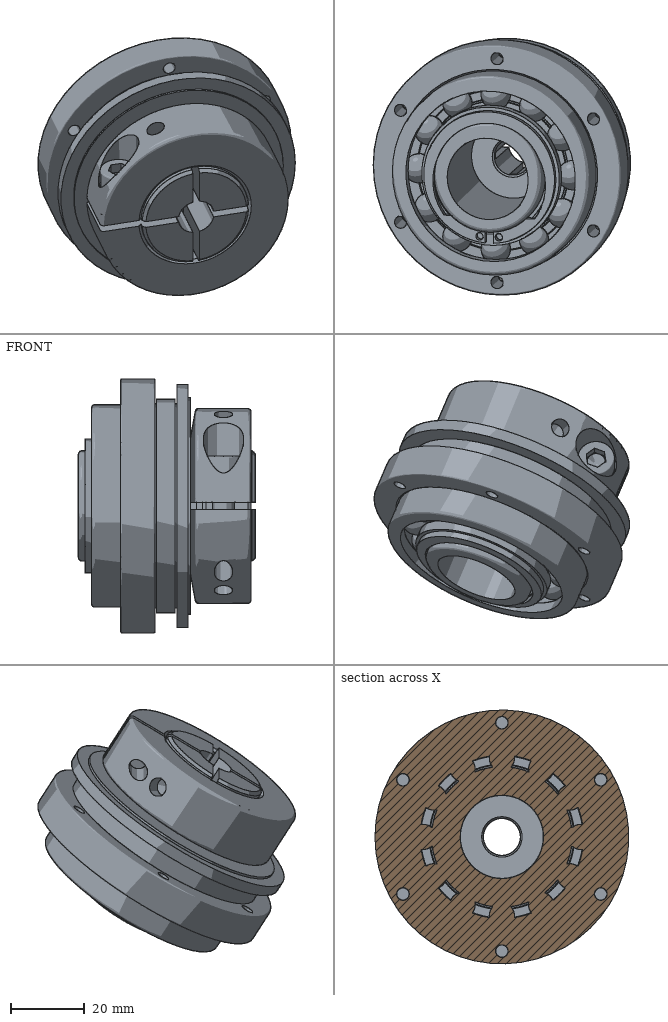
import cadquery as cq
import math


hub_dia = 30.0
hub_length = 48.0
hub_bore_dia = 22.5
hub_bore_depth = 30.0
hub_front_round = 1.1
hub_end_chamfer = 0.8
pilot_dia = 10.0
pilot_chamfer = 0.5

bearing_start = 3.6
bearing_width = 13.0
bearing_end = bearing_start + bearing_width
inner_ring_dia = 38.2
outer_ring_bore = 47.1
outer_ring_dia = 55.0
bearing_round = 1.0
ball_count = 12
ball_dia = 8.0
ball_x = bearing_start + bearing_width / 2
ball_circle_dia = (inner_ring_dia + outer_ring_bore) / 2
raceway_radius = 4.2
cage_setback = 1.7
cage_step = 0.4
cage_step_slope = 0.2
cage_outer_dia = 44.45
cage_inner_dia = 39.5

snap_thickness = 1.7
snap_dia = 36.35
snap_relief_dia = 31.3
snap_relief_drop = 1.5
snap_lug_level = -11.0
snap_gap_width = 2.35
snap_hole_dia = 2.0
snap_hole_spacing = 5.4
snap_hole_drop = 16.4

flange_start = 11.5
flange_end = 20.85
flange_dia = 69.0
flange_round = 0.4
flange_bore_chamfer = 0.5
flange_hole_dia = 3.3
flange_hole_circle = 61.95
flange_hole_count = 6
neck_dia = 55.5
pressure_disc_start = 21.2
pressure_disc_end = 26.3
pressure_disc_dia = 58.0
switch_disc_start = 26.8
switch_disc_end = 29.8
switch_disc_dia = 66.0
spacer_end = 30.4
spacer_dia = 58.9

clamp_start = spacer_end
clamp_end = 46.9
clamp_dia = 53.0
clamp_round = 1.05
cone_front_dia = 37.1
cone_length = 1.45
slit_width = 1.85
hub_slit_start = 32.0
relief_dia = 31.75
relief_end = 33.75
relief_cone_end = 34.65
clamp_bore_chamfer = 0.8

screw_x = 39.4
screw_y = -19.45
head_dia = 10.0
head_height = 6.0
head_top = 13.5
head_round = 0.5
head_seat = head_top - head_height
counterbore_dia = 11.0
shank_dia = 6.0
shank_end = -8.3
shank_clearance_dia = 6.5
hex_flats = 5.0
hex_depth = 2.75
drill_point_angle = 118.0
collar_hole_dia = 5.0
collar_hole_depth = 5.0
collar_hole_angles = (20.0, 150.0)


def disc(start, end, dia):
    """Round disc about the X axis between two x positions."""
    return cq.Workplane("YZ").workplane(offset=start).circle(dia / 2).extrude(end - start)


def ring(start, end, outer_dia, inner_dia):
    return disc(start, end, outer_dia).cut(disc(start, end, inner_dia))


def turned(points):
    """Solid turned about the X axis from (x, radius) points."""
    return cq.Workplane("XY").polyline(points).close().revolve(360, (0, 0, 0), (1, 0, 0))


def drill(dia, depth):
    """Drill shape with a conical point, starting at the origin and going down."""
    radius = dia / 2
    point = radius / math.tan(math.radians(drill_point_angle / 2))
    profile = [(0, 0), (radius, 0), (radius, -depth), (0, -depth - point)]
    return cq.Workplane("XZ").polyline(profile).close().revolve(360, (0, 0, 0), (0, 1, 0))


def upright_cylinder(bottom, top, dia):
    """Cylinder on the screw axis between two z positions."""
    plane = cq.Workplane("XY").workplane(offset=bottom).center(screw_x, screw_y)
    return plane.circle(dia / 2).extrude(top - bottom)


def make_hub():
    hub = disc(0, hub_length, hub_dia)
    hub = hub.faces("<X").edges().fillet(hub_front_round)
    return hub.faces(">X").edges().chamfer(hub_end_chamfer)


def make_hub_bore():
    bore_radius = hub_bore_dia / 2
    pilot_radius = pilot_dia / 2
    return turned([
        (0, 0),
        (0, bore_radius),
        (hub_bore_depth, bore_radius),
        (hub_bore_depth, pilot_radius + pilot_chamfer),
        (hub_bore_depth + pilot_chamfer, pilot_radius),
        (hub_length, pilot_radius),
        (hub_length, 0),
    ])


def make_bearing():
    inner = ring(bearing_start, bearing_end, inner_ring_dia, hub_dia)
    inner = inner.faces("<X").edges(cq.selectors.RadiusNthSelector(0)).chamfer(bearing_round)
    outer = ring(bearing_start, bearing_end, outer_ring_dia, outer_ring_bore)
    outer = outer.faces("<X").edges(cq.selectors.RadiusNthSelector(1)).fillet(bearing_round)

    cage_face = ball_x + cage_setback

    groove = cq.Workplane("XY").center(ball_x, ball_circle_dia / 2).circle(raceway_radius)
    groove = groove.revolve(360, (0, -ball_circle_dia / 2, 0), (1, -ball_circle_dia / 2, 0))
    groove = groove.intersect(disc(bearing_start, cage_face, outer_ring_dia))
    inner = inner.cut(groove)
    outer = outer.cut(groove)

    middle_face = cage_face + cage_step
    inner_face = middle_face + cage_step
    cage = turned([
        (bearing_end, outer_ring_bore / 2),
        (cage_face, outer_ring_bore / 2),
        (cage_face, cage_outer_dia / 2),
        (middle_face, cage_outer_dia / 2 - cage_step_slope),
        (middle_face, cage_inner_dia / 2),
        (inner_face, cage_inner_dia / 2 - cage_step_slope),
        (inner_face, inner_ring_dia / 2),
        (bearing_end, inner_ring_dia / 2),
    ])
    bearing = inner.union(outer).union(cage)

    for index in range(ball_count):
        angle = 360 / ball_count * index
        ball = cq.Workplane("XY").sphere(ball_dia / 2)
        ball = ball.rotate((0, 0, 0), (0, 1, 0), 90).translate((ball_x, 0, ball_circle_dia / 2))
        bearing = bearing.union(ball.rotate((0, 0, 0), (1, 0, 0), angle))
    return bearing


def make_snap_ring():
    start = bearing_start - snap_thickness
    plane = cq.Workplane("YZ").workplane(offset=start)
    snap_ring = ring(start, bearing_start, snap_dia, hub_dia)

    relief = plane.center(0, -snap_relief_drop).circle(snap_relief_dia / 2).extrude(snap_thickness)
    above_lugs = plane.center(0, snap_lug_level).rect(snap_dia, snap_dia, centered=(True, False))
    snap_ring = snap_ring.cut(relief.intersect(above_lugs.extrude(snap_thickness)))

    gap = plane.center(0, -snap_dia / 2).rect(snap_gap_width, snap_dia / 2).extrude(snap_thickness)
    holes = plane.center(0, -snap_hole_drop).rarray(snap_hole_spacing, 0.7, 2, 1)
    holes = holes.circle(snap_hole_dia / 2).extrude(snap_thickness)
    return snap_ring.cut(gap).cut(holes)


def make_flange():
    flange = disc(flange_start, flange_end, flange_dia).edges().fillet(flange_round)
    flange = flange.cut(disc(flange_start, bearing_end, outer_ring_dia))
    flange = flange.faces("<X").edges(cq.selectors.RadiusNthSelector(0)).chamfer(flange_bore_chamfer)
    holes = cq.Workplane("YZ").workplane(offset=flange_start)
    holes = holes.polarArray(flange_hole_circle / 2, 90, 360, flange_hole_count)
    return flange.cut(holes.circle(flange_hole_dia / 2).extrude(flange_end - flange_start))


def make_discs():
    discs = disc(bearing_end, switch_disc_start, neck_dia)
    discs = discs.union(disc(pressure_disc_start, pressure_disc_end, pressure_disc_dia))
    discs = discs.union(disc(switch_disc_start, switch_disc_end, switch_disc_dia))
    return discs.union(disc(switch_disc_end, spacer_end, spacer_dia))


def make_clamp():
    clamp_radius = clamp_dia / 2
    clamp = turned([
        (clamp_start, 0),
        (clamp_start, cone_front_dia / 2),
        (clamp_start + cone_length, clamp_radius),
        (clamp_end, clamp_radius),
        (clamp_end, 0),
    ])
    clamp = clamp.edges(cq.selectors.RadiusNthSelector(-1)).fillet(clamp_round)

    bore_radius = hub_dia / 2
    bore = turned([
        (clamp_start, 0),
        (clamp_start, bore_radius),
        (hub_slit_start, bore_radius),
        (hub_slit_start, relief_dia / 2),
        (relief_end, relief_dia / 2),
        (relief_cone_end, bore_radius),
        (clamp_end - clamp_bore_chamfer, bore_radius),
        (clamp_end, bore_radius + clamp_bore_chamfer),
        (clamp_end, 0),
    ])
    clamp = clamp.cut(bore)

    slit_length = clamp_end - clamp_start
    slit = cq.Workplane("XY").box(slit_length, clamp_radius, slit_width, centered=(False, False, True))
    clamp = clamp.cut(slit.translate((clamp_start, -clamp_radius, 0)))

    clamp = clamp.cut(upright_cylinder(head_seat, clamp_radius, counterbore_dia))
    clamp = clamp.cut(upright_cylinder(0, head_seat, shank_clearance_dia))
    clamp = clamp.cut(upright_cylinder(-clamp_radius, 0, collar_hole_dia))

    for angle in collar_hole_angles:
        hole = drill(collar_hole_dia, collar_hole_depth).translate((screw_x, 0, clamp_radius))
        clamp = clamp.cut(hole.rotate((0, 0, 0), (1, 0, 0), angle))
    return clamp


def make_screw():
    head = upright_cylinder(head_seat, head_top, head_dia).faces(">Z").edges().fillet(head_round)
    hex_corner_dia = hex_flats / math.cos(math.pi / 6)
    socket = cq.Workplane("XY").polygon(6, hex_corner_dia).extrude(-hex_depth)
    socket = socket.union(drill(hex_flats, hex_depth))
    socket = socket.rotate((0, 0, 0), (0, 0, 1), 90).translate((screw_x, screw_y, head_top))
    return head.cut(socket).union(upright_cylinder(shank_end, head_seat, shank_dia))


def cut_hub_slits(hub):
    """Cross slits through the clamped end of the hub, along Y and along Z."""
    length = hub_length - hub_slit_start
    slit = cq.Workplane("XY").box(length, hub_dia, slit_width, centered=(False, True, True))
    slit = slit.translate((hub_slit_start, 0, 0))
    return hub.cut(slit).cut(slit.rotate((0, 0, 0), (1, 0, 0), 90))


hub = cut_hub_slits(make_hub())
body = make_discs().union(make_flange()).union(make_bearing())
body = body.union(hub).union(make_snap_ring()).union(make_clamp()).union(make_screw())
result = body.cut(make_hub_bore())